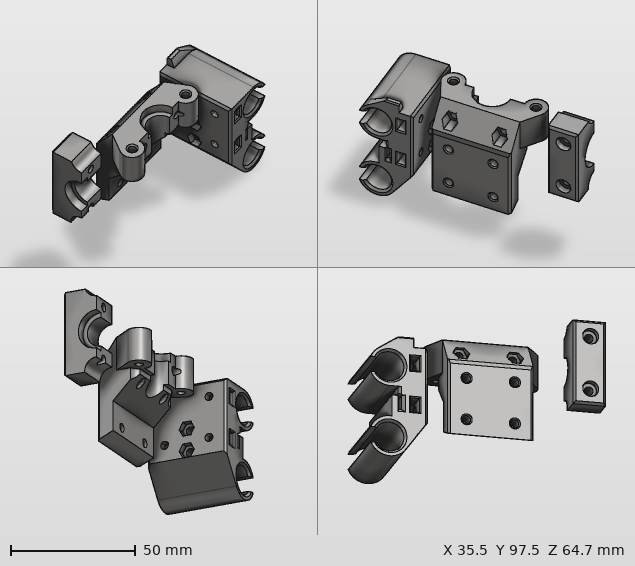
import cadquery as cq
import math


width = 35.5
half_width = width / 2
edge_chamfer = 1.0
screw_dia = 3.5
nut_corner_dia = 6.8
through_length = 200.0

mount_spacing_wide = 20.0
mount_spacing_high = 17.5

collar_radius = 8.15
groove_radius = 6.15
collar_depth = 4.0
clamp_screw_spacing = 22.25

bracket_base = 11.6
bracket_height = 42.5
bracket_top = bracket_base + bracket_height
arm_height = 14.0
arm_base = bracket_top - arm_height
plate_thickness = 7.1
plate_bottom_rise = 3.0
slope_width = 8.6
slope_drop = 11.6
gusset_reach = 17.7
gusset_lip = 2.25
hotend_x = 19.68
ear_radius = 5.05
ear_y_back = 17.35
ear_y_front = -19.5
ear_gap_radius = ear_radius
hole_countersink_dia = 4.8
plate_countersink_dia = 4.6
mount_hole_top = bracket_base + 24.15
nut_trap_z = bracket_top - 6.7
nut_trap_floor = 8.0

clamp_base = 29.15
clamp_reach = 15.0
clamp_depth = 13.5
clamp_back_y = -34.27
clamp_front_y = clamp_back_y - clamp_depth
clamp_mid_z = clamp_base + half_width
clamp_screw_inset = 6.35
clamp_head_dia = 6.5
clamp_head_depth = 3.0
clamp_ear_clearance = 5.3

block_face_y = 25.98
clip_y = block_face_y + 15.9
clip_outer_radius = 8.5
clip_bore_radius = 6.1
clip_bore_chamfer = 1.0
clip_mouth = 6.5
lower_clip_z = clip_outer_radius
clip_spacing = 29.8
upper_clip_z = lower_clip_z + clip_spacing
block_top = upper_clip_z + clip_outer_radius
block_face_bottom = 15.7
back_wall_y = block_face_y + 12.25
post_back_y = block_face_y + 15.0
post_top = 25.9
slot_width = 1.25
slot_front_y = block_face_y + 10.65
slot_back_y = slot_front_y + slot_width
slot_floor = 20.35
slot_lip_low = 26.3
slot_lip_high = 27.25
slot_bevel = 1.2
slot_thin_bevel = 0.5
nut_slot_near = block_face_y + 3.5
nut_slot_thickness = 3.6
nut_slot_height = nut_corner_dia * math.cos(math.radians(30))
nut_slot_chamfer = 0.55
mount_hole_dia = 3.4
block_mount_top = 40.05
spare_hole_top = 28.05
spare_hole_spacing = 9.3
spare_nut_depth = 3.0
tab_rise = 4.15
tab_flat_end = 12.05
tab_front = 5.95
tab_base_width = 3.55
tab_draft = 0.35
tab_chamfer = 0.6


def tangent_point(center, radius, point, side):
    """Where a line from the point touches the circle; side 1 turns counter-clockwise, -1 clockwise."""
    du = point[0] - center[0]
    dv = point[1] - center[1]
    angle = math.atan2(dv, du) + side * math.acos(radius / math.hypot(du, dv))
    return center[0] + radius * math.cos(angle), center[1] + radius * math.sin(angle)


def rod(axis_point, direction, dia, length=through_length):
    """Cylinder starting at a point and running along a direction."""
    start = cq.Vector(*axis_point)
    return cq.Workplane(cq.Solid.makeCylinder(dia / 2, length, start, cq.Vector(*direction)))


def block(x0, x1, y0, y1, z0, z1):
    """Box between two opposite corners."""
    return cq.Workplane().box(x1 - x0, y1 - y0, z1 - z0, centered=False).translate((x0, y0, z0))


def countersink(axis_point, direction, hole_dia, top_dia):
    """45 degree countersink opening at a point."""
    depth = (top_dia - hole_dia) / 2
    start = cq.Vector(*axis_point)
    cone = cq.Solid.makeCone(top_dia / 2, hole_dia / 2, depth, start, cq.Vector(*direction))
    return cq.Workplane(cone)


def beveled_mouth(y0, y1, z0, z1, depth, grow):
    """Funnel at X = 0; grow holds how far each side (y0, y1, z0, z1) widens at the mouth."""
    outer = [(y0 - grow[0], z0 - grow[2]), (y1 + grow[1], z0 - grow[2]),
             (y1 + grow[1], z1 + grow[3]), (y0 - grow[0], z1 + grow[3])]
    inner = [(y0, z0), (y1, z0), (y1, z1), (y0, z1)]
    mouth = cq.Wire.makePolygon([cq.Vector(0, y, z) for y, z in outer], close=True)
    throat = cq.Wire.makePolygon([cq.Vector(depth, y, z) for y, z in inner], close=True)
    return cq.Workplane(cq.Solid.makeLoft([mouth, throat], True))


def bracket_arm():
    """Flat arm with its two screw ears, flanks tangent to the ears."""
    ear_front = (hotend_x, ear_y_front)
    ear_back = (hotend_x, ear_y_back)
    tangent_front = tangent_point(ear_front, ear_radius, (slope_width, -half_width), 1)
    tangent_back = tangent_point(ear_back, ear_radius, (slope_width, half_width), -1)
    far_x = hotend_x + ear_radius
    return (
        cq.Workplane("XY", origin=(0, 0, arm_base))
        .moveTo(0, -half_width)
        .lineTo(slope_width, -half_width)
        .lineTo(*tangent_front)
        .threePointArc((far_x, ear_y_front), (hotend_x, ear_y_front + ear_radius))
        .lineTo(hotend_x, ear_y_back - ear_radius)
        .threePointArc((far_x, ear_y_back), tangent_back)
        .lineTo(slope_width, half_width)
        .lineTo(0, half_width)
        .close()
        .extrude(arm_height)
    )


def build_bracket():
    slope_foot = bracket_top - slope_drop
    gusset_tip = arm_base - gusset_lip
    gusset_foot = gusset_tip - (gusset_reach - plate_thickness)
    plate = (
        cq.Workplane("XZ", origin=(0, half_width, 0))
        .moveTo(0, bracket_base)
        .lineTo(0, arm_base)
        .lineTo(gusset_reach, arm_base)
        .lineTo(gusset_reach, gusset_tip)
        .lineTo(plate_thickness, gusset_foot)
        .lineTo(plate_thickness, bracket_base + plate_bottom_rise)
        .close()
        .extrude(width)
    )
    for ear_y in (ear_y_front, ear_y_back):
        plate = plate.cut(rod((hotend_x, ear_y, 0), (0, 0, 1), 2 * ear_gap_radius, arm_base))
    body = plate.union(bracket_arm())
    slope_cut = (
        cq.Workplane("XZ", origin=(0, half_width, 0))
        .polyline([(0, slope_foot), (slope_width, bracket_top), (0, bracket_top)])
        .close()
        .extrude(width)
    )
    body = body.cut(slope_cut)
    body = body.faces("<X").edges("|Z or >Z").chamfer(edge_chamfer)

    body = body.cut(rod((hotend_x, 0, 0), (0, 0, 1), 2 * groove_radius))
    body = body.cut(rod((hotend_x, 0, bracket_top - collar_depth), (0, 0, 1), 2 * collar_radius))

    for ear_y in (ear_y_front, ear_y_back):
        body = body.cut(rod((hotend_x, ear_y, 0), (0, 0, 1), screw_dia))
        body = body.cut(countersink((hotend_x, ear_y, bracket_top), (0, 0, -1),
                                    screw_dia, hole_countersink_dia))

    for y in (-mount_spacing_wide / 2, mount_spacing_wide / 2):
        for z in (mount_hole_top, mount_hole_top - mount_spacing_high):
            body = body.cut(rod((0, y, z), (1, 0, 0), screw_dia))
            body = body.cut(countersink((0, y, z), (1, 0, 0), screw_dia, plate_countersink_dia))

    for y in (-clamp_screw_spacing / 2, clamp_screw_spacing / 2):
        body = body.cut(rod((0, y, nut_trap_z), (1, 0, 0), screw_dia))
        trap = (
            cq.Workplane("YZ", origin=(0, y, nut_trap_z))
            .polygon(6, nut_corner_dia)
            .extrude(nut_trap_floor)
        )
        body = body.cut(trap)
    return body


def build_clamp():
    body = block(0, clamp_reach, clamp_front_y, clamp_back_y, clamp_base, clamp_base + width)
    body = body.faces("<X").edges().chamfer(edge_chamfer)

    seat = (clamp_reach, clamp_front_y, clamp_mid_z)
    body = body.cut(rod(seat, (0, 1, 0), 2 * collar_radius, collar_depth))
    body = body.cut(rod(seat, (0, 1, 0), 2 * groove_radius))

    for offset in (-ear_y_front, -ear_y_back):
        corner = (clamp_reach, clamp_front_y, clamp_mid_z + offset)
        body = body.cut(rod(corner, (0, 1, 0), 2 * clamp_ear_clearance))

    for offset in (-clamp_screw_spacing / 2, clamp_screw_spacing / 2):
        start = (0, clamp_front_y + clamp_screw_inset, clamp_mid_z + offset)
        body = body.cut(rod(start, (1, 0, 0), screw_dia))
        body = body.cut(rod(start, (1, 0, 0), clamp_head_dia, clamp_head_depth))
    return body


def clip_block_body():
    """Solid block with both clip cylinders, full width."""
    lower_clip = (clip_y, lower_clip_z)
    tangent = tangent_point(lower_clip, clip_outer_radius, (block_face_y, block_face_bottom), 1)
    web = (
        cq.Workplane("YZ")
        .moveTo(block_face_y, block_face_bottom)
        .lineTo(*tangent)
        .lineTo(clip_y, lower_clip_z)
        .lineTo(clip_y, lower_clip_z + clip_outer_radius)
        .lineTo(post_back_y, lower_clip_z + clip_outer_radius)
        .lineTo(post_back_y, post_top)
        .lineTo(slot_back_y, post_top)
        .lineTo(slot_back_y, slot_floor)
        .lineTo(slot_front_y, slot_floor)
        .lineTo(slot_front_y, slot_lip_low)
        .lineTo(back_wall_y, slot_lip_high)
        .lineTo(back_wall_y, upper_clip_z - clip_outer_radius)
        .lineTo(clip_y, upper_clip_z - clip_outer_radius)
        .lineTo(clip_y, block_top)
        .lineTo(block_face_y, block_top)
        .close()
        .extrude(width)
    )
    body = web.faces("<Y").edges("|Z or >Z").chamfer(edge_chamfer)
    for z in (lower_clip_z, upper_clip_z):
        body = body.union(rod((0, clip_y, z), (1, 0, 0), 2 * clip_outer_radius, width))
    return body


def locating_tab():
    """Tapered tab on top of the block, its back sloping down tangent to the upper clip."""
    flat_end = (block_face_y + tab_flat_end, block_top + tab_rise)
    tangent = tangent_point((clip_y, upper_clip_z), clip_outer_radius, flat_end, -1)
    front_y = block_face_y + tab_front
    tab = (
        cq.Workplane("YZ")
        .moveTo(front_y, block_top - edge_chamfer)
        .lineTo(front_y, block_top + tab_rise)
        .lineTo(*flat_end)
        .lineTo(*tangent)
        .lineTo(clip_y, upper_clip_z + clip_bore_radius + clip_bore_chamfer)
        .close()
        .extrude(width)
    )
    low_z = upper_clip_z
    high_z = block_top + tab_rise
    draft_side = (
        cq.Workplane("XZ", origin=(0, front_y, 0))
        .moveTo(0, low_z)
        .lineTo(tab_base_width + tab_draft * (block_top - low_z), low_z)
        .lineTo(tab_base_width - tab_draft * tab_rise, high_z)
        .lineTo(tab_chamfer, high_z)
        .lineTo(0, high_z - tab_chamfer)
        .close()
        .extrude(-2 * clip_y)
    )
    return tab.intersect(draft_side)


def clip_opening(z):
    """Rod bore with both end chamfers and the mouth that opens it toward +Y."""
    bore_dia = 2 * clip_bore_radius
    chamfer_dia = bore_dia + 2 * clip_bore_chamfer
    far_y = clip_y + 2 * clip_outer_radius
    opening = rod((0, clip_y, z), (1, 0, 0), bore_dia, width)
    opening = opening.union(block(0, width, clip_y, far_y, z - clip_mouth / 2, z + clip_mouth / 2))
    for x, direction in ((0, 1), (width, -1)):
        opening = opening.union(countersink((x, clip_y, z), (direction, 0, 0), bore_dia, chamfer_dia))
    return opening


def slot_lead_in():
    """Bevels at the X = 0 end of the narrow slot and the wall above it."""
    slot = beveled_mouth(slot_front_y, slot_back_y, slot_floor, slot_lip_low, slot_bevel,
                         (slot_bevel, slot_thin_bevel, slot_bevel, 0))
    wall = beveled_mouth(back_wall_y, post_back_y, slot_lip_low, upper_clip_z - clip_outer_radius,
                         slot_bevel, (slot_bevel, 0, 0, 0))
    return slot.union(wall)


def nut_slot(z):
    """Side pocket for a hexagonal nut entering from X = 0, ending in the nut's own point."""
    mount_x = half_width - mount_spacing_wide / 2
    half = nut_slot_height / 2
    flat_end = mount_x + nut_corner_dia / 4
    point = mount_x + nut_corner_dia / 2
    pocket = (
        cq.Workplane("XZ", origin=(0, nut_slot_near, z))
        .polyline([(0, -half), (flat_end, -half), (point, 0), (flat_end, half), (0, half)])
        .close()
        .extrude(-nut_slot_thickness)
    )
    mouth = beveled_mouth(nut_slot_near, nut_slot_near + nut_slot_thickness, z - half, z + half,
                          nut_slot_chamfer, (nut_slot_chamfer,) * 4)
    return pocket.union(mouth)


def build_clip_block():
    body = clip_block_body().union(locating_tab())
    for z in (lower_clip_z, upper_clip_z):
        body = body.cut(clip_opening(z))
    body = body.cut(slot_lead_in())

    hole_length = nut_slot_near + nut_slot_thickness - block_face_y
    for z in (block_mount_top, block_mount_top - mount_spacing_high):
        slot = nut_slot(z)
        body = body.cut(slot)
        body = body.cut(slot.mirror("YZ", (half_width, 0, 0)))
        for side in (-1, 1):
            start = (half_width + side * mount_spacing_wide / 2, block_face_y, z)
            body = body.cut(rod(start, (0, 1, 0), mount_hole_dia, hole_length))

    for z in (spare_hole_top, spare_hole_top - spare_hole_spacing):
        body = body.cut(rod((half_width, block_face_y, z), (0, 1, 0), mount_hole_dia))
        recess = (
            cq.Workplane("XZ", origin=(half_width, block_face_y, z))
            .polygon(6, nut_corner_dia)
            .extrude(-spare_nut_depth)
        )
        body = body.cut(recess)
    return body


bracket = build_bracket()
clamp = build_clamp()
clip_block = build_clip_block()
result = cq.Compound.makeCompound([body.solids().val() for body in (bracket, clamp, clip_block)])